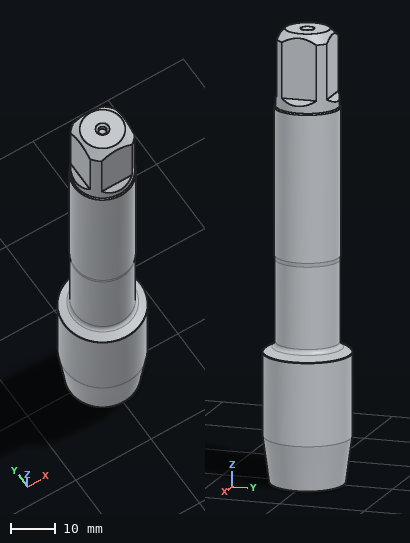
import cadquery as cq
import math

total_length = 105
lead_length = 10.8
head_length = 30.0
shoulder_start = 30.2
neck_end = 51.7
shank_start = 52.6
shank_end = 86.8
drive_start = 87.2
flat_start = 90.0

head_diameter = 20.2
tip_diameter = 17.2
neck_diameter = 14.7
shank_diameter = 15.0
drive_diameter = 14.4
drive_top_diameter = 10.2

shoulder_slope = math.radians(30)
neck_fillet_radius = 1.4

across_flats = 11.9
hole_diameter = 2.0
hole_mouth_diameter = 3.2
hole_depth = 1.6
drill_point_angle = math.radians(120)


def make_cutting_head():
    """Cylindrical cutting head with a tapered lead at the tip."""
    return (
        cq.Workplane("XZ")
        .moveTo(0, 0)
        .lineTo(tip_diameter / 2, 0)
        .lineTo(head_diameter / 2, lead_length)
        .lineTo(head_diameter / 2, head_length)
        .lineTo(0, head_length)
        .close()
        .revolve(360, (0, 0), (0, 1))
    )


def make_shank_blank():
    """Turned shank: shoulder, filleted neck, main cylinder and chamfered drive end."""
    drive_chamfer = (drive_diameter - drive_top_diameter) / 2
    fillet_turn = math.pi / 2 - shoulder_slope
    fillet_outer_radius = neck_diameter / 2 + neck_fillet_radius * (1 - math.cos(fillet_turn))
    shoulder_width = head_diameter / 2 - fillet_outer_radius
    fillet_start = shoulder_start + shoulder_width * math.tan(shoulder_slope)
    neck_start = fillet_start + neck_fillet_radius * math.sin(fillet_turn)
    return (
        cq.Workplane("XZ")
        .moveTo(0, head_length)
        .lineTo(head_diameter / 2, head_length)
        .lineTo(head_diameter / 2, shoulder_start)
        .lineTo(fillet_outer_radius, fillet_start)
        .tangentArcPoint((neck_diameter / 2, neck_start), relative=False)
        .lineTo(neck_diameter / 2, neck_end)
        .lineTo(shank_diameter / 2, shank_start)
        .lineTo(shank_diameter / 2, shank_end)
        .lineTo(drive_diameter / 2, drive_start)
        .lineTo(drive_diameter / 2, total_length - drive_chamfer)
        .lineTo(drive_top_diameter / 2, total_length)
        .lineTo(0, total_length)
        .close()
        .revolve(360, (0, 0), (0, 1))
    )


def make_flat_cutter():
    """Volume removed beside one drive flat; its lower end slopes outward at 45 degrees."""
    flat_distance = across_flats / 2
    outer_distance = drive_diameter
    slope_drop = outer_distance - flat_distance
    return (
        cq.Workplane("XZ")
        .moveTo(flat_distance, flat_start)
        .lineTo(outer_distance, flat_start - slope_drop)
        .lineTo(outer_distance, total_length)
        .lineTo(flat_distance, total_length)
        .close()
        .extrude(drive_diameter / 2, both=True)
    )


def make_centre_hole():
    """Blind centre hole with a 45 degree countersink and a conical drill point."""
    countersink_depth = (hole_mouth_diameter - hole_diameter) / 2
    point_depth = hole_diameter / 2 / math.tan(drill_point_angle / 2)
    return (
        cq.Workplane("XZ")
        .moveTo(0, total_length)
        .lineTo(hole_mouth_diameter / 2, total_length)
        .lineTo(hole_diameter / 2, total_length - countersink_depth)
        .lineTo(hole_diameter / 2, total_length - hole_depth)
        .lineTo(0, total_length - hole_depth - point_depth)
        .close()
        .revolve(360, (0, 0), (0, 1))
    )


def make_shank():
    """Shank with its square drive and centre hole."""
    shank = make_shank_blank()
    drive_zone = (
        cq.Workplane("XY", origin=(0, 0, drive_start))
        .circle(drive_diameter)
        .extrude(total_length - drive_start)
    )
    cutter = make_flat_cutter().intersect(drive_zone)
    for angle in (0, 90, 180, 270):
        shank = shank.cut(cutter.rotate((0, 0, 0), (0, 0, 1), angle))
    return shank.cut(make_centre_hole())


cutting_head = make_cutting_head()
shank = make_shank()
result = cq.Compound.makeCompound([cutting_head.val(), shank.val()])